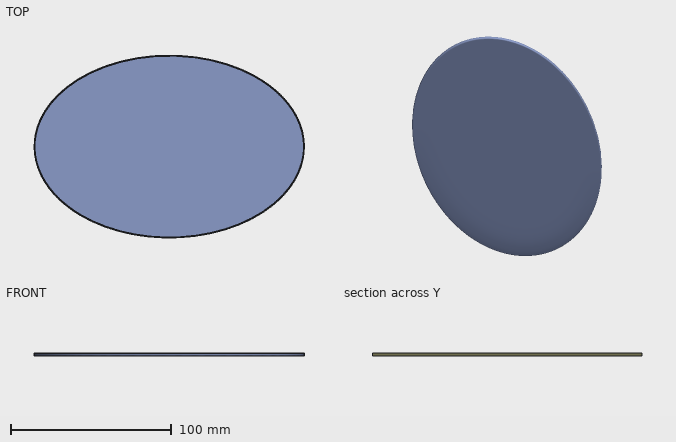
import cadquery as cq

length = 167.9
width = 113.5
thickness = 2.0

bevel_height = 0.3
bevel_width = 0.5
bottom_radius = 0.7

blank = cq.Workplane("XY").ellipse(length / 2, width / 2).extrude(thickness)

rounded_plate = blank.faces("<Z").edges().fillet(bottom_radius)

result = rounded_plate.faces(">Z").edges().chamfer(bevel_height, bevel_width)